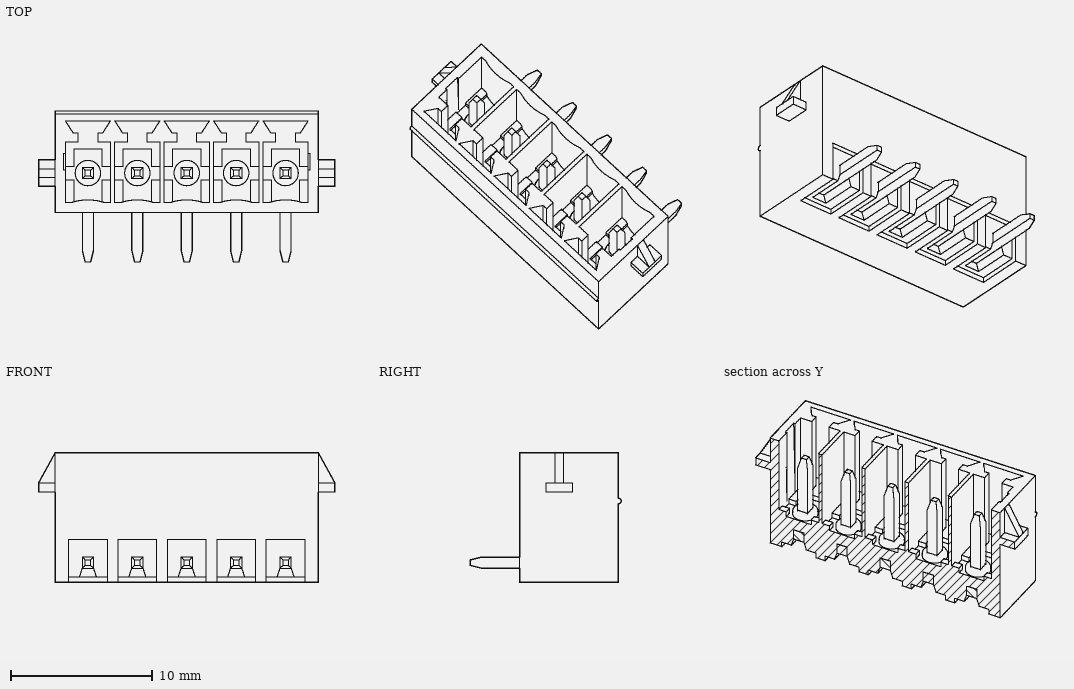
import cadquery as cq
import math

CONTACT_COUNT = 5
PITCH = 3.5
CONTACT_X = [(i - (CONTACT_COUNT - 1) / 2) * PITCH for i in range(CONTACT_COUNT)]
PIN_SIZE = 0.8
PIN_TIP_SIZE = 0.4
PIN_TIP_LENGTH = 0.8
PIN_Y = 2.8
PIN_TOP_Z = 7.7
TAIL_BOTTOM_Z = 1.0
TAIL_TOP_Z = TAIL_BOTTOM_Z + PIN_SIZE
TAIL_LENGTH = 3.5
PIN_BACK_Y = PIN_Y + PIN_SIZE / 2

OVERALL_LENGTH = 21.0
HOUSING_LENGTH = 18.64
HOUSING_DEPTH = 7.0
HOUSING_HEIGHT = 9.2

PARTITION = 0.3
CAVITY_WIDTH = PITCH - PARTITION
CAVITY_FRONT_Y = 0.7
CAVITY_BACK_Y = 5.0
CAVITY_FLOOR_Z = 3.2
NECK_WIDTH = 1.4
NECK_BACK_Y = 5.65
DOVETAIL_NARROW_WIDTH = 2.1
DOVETAIL_BACK_Y = 6.5
BULGE_WIDTH = 2.4
BULGE_HEIGHT = 0.2

RECESS_DEPTH = 0.4
RECESS_FLOOR_Z = CAVITY_FLOOR_Z - RECESS_DEPTH
RECESS_WIDTH = 2.0
RECESS_BACK_Y = 4.5
CROSS_RECESS_LENGTH = 0.95
COLLAR_DIAMETER = 1.8
COLLAR_HEIGHT = RECESS_DEPTH
COLLAR_ROUND = 0.2

POCKET_WIDTH = 2.75
POCKET_DEPTH = 0.4
POCKET_HEIGHT = 3.05
UNDERSIDE_RECESS_HEIGHT = 0.4
UNDERSIDE_RECESS_MARGIN = 0.4
UNDERSIDE_RECESS_BACK_Y = PIN_BACK_Y + UNDERSIDE_RECESS_MARGIN
SLOT_MOUTH_WIDTH = 1.2

END_GROOVE_DEPTH = 0.12
END_GROOVE_FRONT_Y = 3.0
END_GROOVE_BACK_Y = 4.2

LATCH_REACH = (OVERALL_LENGTH - HOUSING_LENGTH) / 2
LATCH_Y = PIN_Y
LATCH_BAR_LENGTH = 1.9
LATCH_BAR_BOTTOM_Z = 6.4
LATCH_BAR_TOP_Z = 7.05
LATCH_RIB_THICKNESS = 0.6

RIDGE_RADIUS = 0.2
RIDGE_Z = 5.77


def box_between(x_min, x_max, y_min, y_max, z_min, z_max):
    size = (x_max - x_min, y_max - y_min, z_max - z_min)
    return cq.Workplane().box(*size, centered=False).translate((x_min, y_min, z_min))


def centred_box(x, width, y_min, y_max, z_min, z_max):
    return box_between(x - width / 2, x + width / 2, y_min, y_max, z_min, z_max)


def cavity(x):
    """Plug chamber with a bulged front wall and a necked dovetail at the back."""
    side = CAVITY_WIDTH / 2
    neck = NECK_WIDTH / 2
    dovetail = DOVETAIL_NARROW_WIDTH / 2
    bulge = BULGE_WIDTH / 2
    return (
        cq.Workplane("XY", origin=(x, 0, CAVITY_FLOOR_Z))
        .moveTo(-side, CAVITY_FRONT_Y)
        .lineTo(-bulge, CAVITY_FRONT_Y)
        .threePointArc((0, CAVITY_FRONT_Y + BULGE_HEIGHT), (bulge, CAVITY_FRONT_Y))
        .lineTo(side, CAVITY_FRONT_Y)
        .lineTo(side, CAVITY_BACK_Y)
        .lineTo(neck, CAVITY_BACK_Y)
        .lineTo(neck, NECK_BACK_Y)
        .lineTo(dovetail, NECK_BACK_Y)
        .lineTo(side, DOVETAIL_BACK_Y)
        .lineTo(-side, DOVETAIL_BACK_Y)
        .lineTo(-dovetail, NECK_BACK_Y)
        .lineTo(-neck, NECK_BACK_Y)
        .lineTo(-neck, CAVITY_BACK_Y)
        .lineTo(-side, CAVITY_BACK_Y)
        .close()
        .extrude(HOUSING_HEIGHT - CAVITY_FLOOR_Z)
    )


def floor_recess(x):
    """Cross-shaped recess in the cavity floor, ending at the bulged front wall."""
    side = RECESS_WIDTH / 2
    crest_y = CAVITY_FRONT_Y + BULGE_HEIGHT
    bulge_radius = (BULGE_WIDTH**2 / 4 + BULGE_HEIGHT**2) / (2 * BULGE_HEIGHT)
    edge_y = crest_y - bulge_radius + math.sqrt(bulge_radius**2 - side**2)
    lengthwise = (
        cq.Workplane("XY", origin=(x, 0, RECESS_FLOOR_Z))
        .moveTo(-side, edge_y)
        .threePointArc((0, crest_y), (side, edge_y))
        .lineTo(side, RECESS_BACK_Y)
        .lineTo(-side, RECESS_BACK_Y)
        .close()
        .extrude(RECESS_DEPTH)
    )
    cross_front_y = PIN_Y - CROSS_RECESS_LENGTH / 2
    cross_back_y = PIN_Y + CROSS_RECESS_LENGTH / 2
    crosswise = centred_box(x, CAVITY_WIDTH, cross_front_y, cross_back_y, RECESS_FLOOR_Z, CAVITY_FLOOR_Z)
    return lengthwise.union(crosswise)


def collar(x):
    return (
        cq.Workplane("XY", origin=(x, PIN_Y, RECESS_FLOOR_Z))
        .circle(COLLAR_DIAMETER / 2)
        .extrude(COLLAR_HEIGHT)
        .faces(">Z")
        .edges()
        .fillet(COLLAR_ROUND)
    )


def front_pocket(x):
    """Shallow pocket in the front face plus the deeper recess along the underside."""
    pocket = centred_box(x, POCKET_WIDTH, 0, POCKET_DEPTH, 0, POCKET_HEIGHT)
    underside = centred_box(x, POCKET_WIDTH, 0, UNDERSIDE_RECESS_BACK_Y, 0, UNDERSIDE_RECESS_HEIGHT)
    return pocket.union(underside)


def pin_slot(x):
    """Pin passage: upright hole, horizontal run and a flared slot below it."""
    upright = centred_box(x, PIN_SIZE, PIN_Y - PIN_SIZE / 2, PIN_BACK_Y, TAIL_BOTTOM_Z, CAVITY_FLOOR_Z)
    run = centred_box(x, PIN_SIZE, 0, PIN_BACK_Y, TAIL_BOTTOM_Z, TAIL_TOP_Z)
    flare = (
        cq.Workplane("XZ", origin=(x, 0, 0))
        .moveTo(-PIN_SIZE / 2, TAIL_BOTTOM_Z)
        .lineTo(PIN_SIZE / 2, TAIL_BOTTOM_Z)
        .lineTo(SLOT_MOUTH_WIDTH / 2, UNDERSIDE_RECESS_HEIGHT)
        .lineTo(-SLOT_MOUTH_WIDTH / 2, UNDERSIDE_RECESS_HEIGHT)
        .close()
        .extrude(-PIN_BACK_Y)
    )
    return upright.union(run).union(flare)


def end_groove():
    """Groove in the end wall on the +X side, deepest at the rim and fading out at the cavity floor."""
    wall_x = CONTACT_X[-1] + CAVITY_WIDTH / 2
    return (
        cq.Workplane("XZ", origin=(0, END_GROOVE_FRONT_Y, 0))
        .moveTo(wall_x, CAVITY_FLOOR_Z)
        .lineTo(wall_x + END_GROOVE_DEPTH, HOUSING_HEIGHT)
        .lineTo(wall_x, HOUSING_HEIGHT)
        .close()
        .extrude(END_GROOVE_FRONT_Y - END_GROOVE_BACK_Y)
    )


def latch():
    """Bar with a sloping rib above it, on the +X end."""
    end_x = HOUSING_LENGTH / 2
    bar = box_between(
        end_x, end_x + LATCH_REACH,
        LATCH_Y - LATCH_BAR_LENGTH / 2, LATCH_Y + LATCH_BAR_LENGTH / 2,
        LATCH_BAR_BOTTOM_Z, LATCH_BAR_TOP_Z,
    )
    rib = (
        cq.Workplane("XZ", origin=(0, LATCH_Y, 0))
        .moveTo(end_x, HOUSING_HEIGHT)
        .lineTo(end_x + LATCH_REACH, LATCH_BAR_TOP_Z)
        .lineTo(end_x, LATCH_BAR_TOP_Z)
        .close()
        .extrude(LATCH_RIB_THICKNESS / 2, both=True)
    )
    return bar.union(rib)


def back_ridge():
    """Half-round bead along the back face."""
    return (
        cq.Workplane("YZ", origin=(-HOUSING_LENGTH / 2, HOUSING_DEPTH, RIDGE_Z))
        .moveTo(0, -RIDGE_RADIUS)
        .threePointArc((RIDGE_RADIUS, 0), (0, RIDGE_RADIUS))
        .close()
        .extrude(HOUSING_LENGTH)
    )


def make_housing():
    body = centred_box(0, HOUSING_LENGTH, 0, HOUSING_DEPTH, 0, HOUSING_HEIGHT)
    body = body.union(back_ridge())
    body = body.union(latch()).union(latch().mirror("YZ"))
    for x in CONTACT_X:
        body = body.cut(cavity(x)).cut(floor_recess(x)).union(collar(x))
        body = body.cut(front_pocket(x)).cut(pin_slot(x))
    return body.cut(end_groove()).cut(end_groove().mirror("YZ"))


def tapered_tip(plane):
    """Four-sided tip that narrows along the normal of its plane."""
    return (
        cq.Workplane(plane)
        .rect(PIN_SIZE, PIN_SIZE)
        .workplane(offset=PIN_TIP_LENGTH)
        .rect(PIN_TIP_SIZE, PIN_TIP_SIZE)
        .loft(ruled=True)
    )


def make_pin(x):
    """Right-angle square pin with a tapered tip on both legs."""
    upright_end_z = PIN_TOP_Z - PIN_TIP_LENGTH
    tail_end_y = PIN_TIP_LENGTH - TAIL_LENGTH
    tail_z = (TAIL_BOTTOM_Z + TAIL_TOP_Z) / 2
    upright = centred_box(x, PIN_SIZE, PIN_Y - PIN_SIZE / 2, PIN_BACK_Y, TAIL_BOTTOM_Z, upright_end_z)
    tail = centred_box(x, PIN_SIZE, tail_end_y, PIN_BACK_Y, TAIL_BOTTOM_Z, TAIL_TOP_Z)
    upright_tip = tapered_tip("XY").translate((x, PIN_Y, upright_end_z))
    tail_tip = tapered_tip("XZ").translate((x, tail_end_y, tail_z))
    return upright.union(tail).union(upright_tip).union(tail_tip)


housing = make_housing()
pins = [make_pin(x) for x in CONTACT_X]

result = cq.Compound.makeCompound([housing.solids().val(), *[pin.solids().val() for pin in pins]])